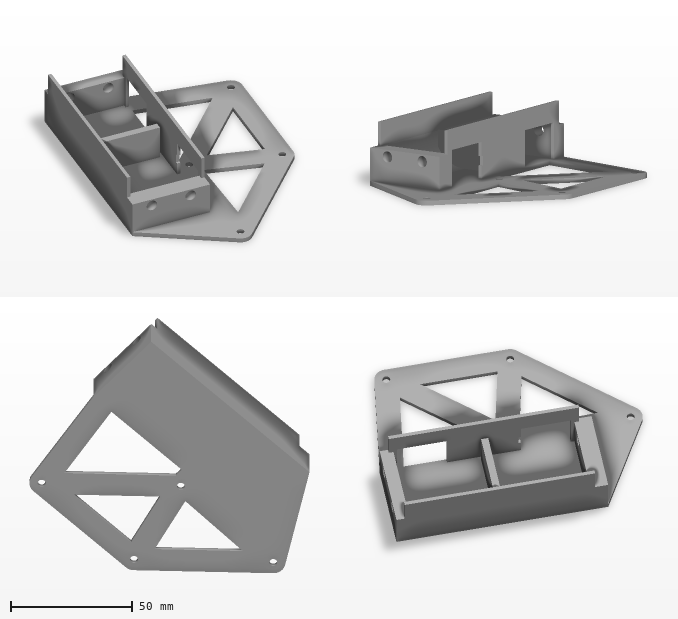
import cadquery as cq
import math

PLATE_THICKNESS = 2.0
CORNER_RADIUS = 5.0
SCREW_DIAMETER = 3.2
STRUT_WIDTH = 2 * CORNER_RADIUS
SCREW_SHIFT = 9.0
SCREW_SPACING = 52.0
LOWER_SCREW_Y = 40.87
UPPER_SCREW_Y = 78.87
INNER_SCREW = (54.61, LOWER_SCREW_Y)
OUTER_SCREW = (INNER_SCREW[0] + SCREW_SPACING, LOWER_SCREW_Y)
RIGHT_SCREW = (INNER_SCREW[0] + SCREW_SHIFT, UPPER_SCREW_Y)
LEFT_SCREW = (RIGHT_SCREW[0] - SCREW_SPACING, UPPER_SCREW_Y)
SCREWS = (INNER_SCREW, OUTER_SCREW, RIGHT_SCREW, LEFT_SCREW)
LOWER_STRUT_END = (54.3, 39.5)
OPENING_RIGHT = 49.8
OPENING_RIGHT_TOP = 38.6
OPENING_LEFT = 10.1
OPENING_PEAK = (15.3, 69.0)

TRAY_LENGTH = 89.0
TRAY_WIDTH = 35.0
END_WALL_HEIGHT = 16.0
LEFT_WALL = 5.5
RIGHT_WALL = 7.5
FRONT_WALL = 1.5
REAR_WALL = 1.5
FLOOR = PLATE_THICKNESS
CAVITY_LENGTH = TRAY_LENGTH - LEFT_WALL - RIGHT_WALL
CAVITY_WIDTH = TRAY_WIDTH - FRONT_WALL - REAR_WALL
CAVITY_CENTER_X = LEFT_WALL + CAVITY_LENGTH / 2
FLOOR_CURVE_RADIUS = 15.0

WALL_HEIGHT = 26.0
WALL_OVERLAP = 2.0

DIVIDER_THICKNESS = 3.0
DIVIDER_HEIGHT = 17.0
DIVIDER_START_Y = 3.2
DIVIDER_END_Y = 32.0

SIDE_HOLE_DIAMETER = 4.7
SIDE_HOLE_SPACING = 17.5
SIDE_HOLE_Z = 13.0

WINDOW_TOP = 17.5
WINDOW_WIDTH = 21.0
WINDOW_END_MARGIN = 1.5
NOTCH_DEPTH = 1.0
NOTCH_BOTTOM = 7.5
NOTCH_TOP = 11.5


def box(x_range, y_range, z_range):
    """Box spanning the given ranges."""
    (x0, x1), (y0, y1), (z0, z1) = x_range, y_range, z_range
    return cq.Workplane("XY").box(x1 - x0, y1 - y0, z1 - z0, centered=False).translate((x0, y0, z0))


def on_corner(center, angle):
    """Point on the rounded corner about a center, at an angle in radians."""
    return (
        center[0] + CORNER_RADIUS * math.cos(angle),
        center[1] + CORNER_RADIUS * math.sin(angle),
    )


def tangent_angle(center, point, side):
    """Angle on the rounded corner where a line from an outside point touches it."""
    dx = point[0] - center[0]
    dy = point[1] - center[1]
    return math.atan2(dy, dx) + side * math.acos(CORNER_RADIUS / math.hypot(dx, dy))


def plate_outline():
    """Solid plate with rounded corners about three of the screw holes."""
    rear_left = (0, TRAY_WIDTH)
    front_right = (TRAY_LENGTH, 0)
    top = math.pi / 2
    left = tangent_angle(LEFT_SCREW, rear_left, -1) % (2 * math.pi)
    slope = math.atan2(OUTER_SCREW[1] - RIGHT_SCREW[1], OUTER_SCREW[0] - RIGHT_SCREW[0]) + top
    lower = tangent_angle(OUTER_SCREW, front_right, 1)
    return (
        cq.Workplane("XY")
        .moveTo(0, 0)
        .lineTo(*rear_left)
        .lineTo(*on_corner(LEFT_SCREW, left))
        .threePointArc(on_corner(LEFT_SCREW, (left + top) / 2), on_corner(LEFT_SCREW, top))
        .lineTo(*on_corner(RIGHT_SCREW, top))
        .threePointArc(on_corner(RIGHT_SCREW, (top + slope) / 2), on_corner(RIGHT_SCREW, slope))
        .lineTo(*on_corner(OUTER_SCREW, slope))
        .threePointArc(on_corner(OUTER_SCREW, (slope + lower) / 2), on_corner(OUTER_SCREW, lower))
        .lineTo(*front_right)
        .close()
        .extrude(PLATE_THICKNESS)
    )


def truss_opening(*strut_nodes):
    """Triangular opening left between struts that join the given nodes."""
    return cq.Workplane("XY").polyline(strut_nodes).close().offset2D(-STRUT_WIDTH / 2).extrude(PLATE_THICKNESS)


def tray_side_opening():
    """Opening that ends at the rear of the tray."""
    corners = [
        (OPENING_LEFT, TRAY_WIDTH),
        OPENING_PEAK,
        (OPENING_RIGHT, OPENING_RIGHT_TOP),
        (OPENING_RIGHT, TRAY_WIDTH),
    ]
    return cq.Workplane("XY").polyline(corners).close().extrude(PLATE_THICKNESS)


def mounting_plate():
    screw_holes = cq.Workplane("XY").pushPoints(SCREWS).circle(SCREW_DIAMETER / 2).extrude(PLATE_THICKNESS)
    return (
        plate_outline()
        .cut(truss_opening(LEFT_SCREW, RIGHT_SCREW, INNER_SCREW))
        .cut(truss_opening(RIGHT_SCREW, OUTER_SCREW, LOWER_STRUT_END))
        .cut(tray_side_opening())
        .cut(screw_holes)
    )


def tray_cavity():
    """Open-topped cavity whose floor curves up into the front wall."""
    cavity = box(
        (LEFT_WALL, LEFT_WALL + CAVITY_LENGTH),
        (FRONT_WALL, FRONT_WALL + CAVITY_WIDTH),
        (FLOOR, WALL_HEIGHT),
    )
    return cavity.edges("|X and <Y and <Z").fillet(FLOOR_CURVE_RADIUS)


def tray_body():
    ends = box((0, TRAY_LENGTH), (0, TRAY_WIDTH), (0, END_WALL_HEIGHT))
    wall_x = (LEFT_WALL - WALL_OVERLAP, LEFT_WALL + CAVITY_LENGTH + WALL_OVERLAP)
    front_wall = box(wall_x, (0, FRONT_WALL), (0, WALL_HEIGHT))
    rear_wall = box(wall_x, (TRAY_WIDTH - REAR_WALL, TRAY_WIDTH), (0, WALL_HEIGHT))
    return ends.cut(tray_cavity()).union(front_wall).union(rear_wall)


def divider():
    """Thin upright across the middle of the cavity, clear of the front and rear walls."""
    start_x = CAVITY_CENTER_X - DIVIDER_THICKNESS / 2
    return box(
        (start_x, start_x + DIVIDER_THICKNESS),
        (DIVIDER_START_Y, DIVIDER_END_Y),
        (0, DIVIDER_HEIGHT),
    )


def side_holes():
    """Two holes that pass through both end walls."""
    offsets = (-SIDE_HOLE_SPACING / 2, SIDE_HOLE_SPACING / 2)
    centers = [(TRAY_WIDTH / 2 + offset, SIDE_HOLE_Z) for offset in offsets]
    return cq.Workplane("YZ").pushPoints(centers).circle(SIDE_HOLE_DIAMETER / 2).extrude(TRAY_LENGTH)


def rear_windows():
    """Two windows in the rear wall, one by each end wall; the right one has a notch."""
    wall_y = (TRAY_WIDTH - REAR_WALL, TRAY_WIDTH)
    left_start = LEFT_WALL + WINDOW_END_MARGIN
    right_start = LEFT_WALL + CAVITY_LENGTH - WINDOW_END_MARGIN - WINDOW_WIDTH
    windows = box((right_start - NOTCH_DEPTH, right_start), wall_y, (NOTCH_BOTTOM, NOTCH_TOP))
    for start in (left_start, right_start):
        windows = windows.union(box((start, start + WINDOW_WIDTH), wall_y, (FLOOR, WINDOW_TOP)))
    return windows


tray = tray_body().cut(side_holes()).cut(rear_windows()).union(divider())
result = mounting_plate().union(tray).clean()